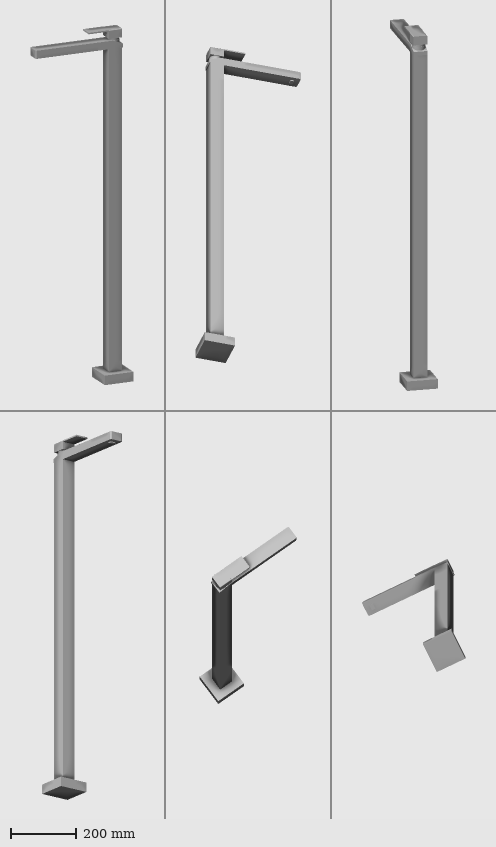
import cadquery as cq


TOTAL_HEIGHT = 1125.0
BASE_HEIGHT = 30.0
COLUMN_TOP = 949.0
SPOUT_BOTTOM = 1064.0
SPOUT_TOP = 1090.0
HEAD_BOTTOM = 1096.0

BASE_SIDE = 97.0
COLUMN_SIDE = 44.0
NECK_DIAMETER = 42.0

SPOUT_FRONT_Y = -268.0
SPOUT_BACK_Y = 25.0
SPOUT_NOSE_RADIUS = 5.0
SLOPE_LENGTH = 37.0
SLOPE_DROP = 13.0

AERATOR_LENGTH_X = 18.0
AERATOR_LENGTH_Y = 11.0
AERATOR_DROP = 3.0
AERATOR_Y = -244.0

HEAD_ROUND = 2.0
COLLAR_DIAMETER = 39.0
LEVER_THICKNESS = 5.0
LEVER_FRONT_Y = -90.0
SCREW_DIAMETER = 11.0
SCREW_DEPTH = 6.0
SCREW_SOCKET_DIAMETER = 6.0
SCREW_SOCKET_DEPTH = 3.0
SCREW_Z = 1105.0

HEAD_FRONT_Y = -COLUMN_SIDE / 2


def square_bar(side, bottom, top):
    """Upright bar with a square section, centred on the column axis."""
    return cq.Workplane("XY").workplane(offset=bottom).rect(side, side).extrude(top - bottom)


def round_bar(diameter, bottom, top):
    """Upright cylinder on the column axis."""
    return cq.Workplane("XY").workplane(offset=bottom).circle(diameter / 2).extrude(top - bottom)


def make_base():
    """Square foot on the floor."""
    return square_bar(BASE_SIDE, 0, BASE_HEIGHT)


def make_column():
    """Tall lower column that stands on the base."""
    return square_bar(COLUMN_SIDE, BASE_HEIGHT, COLUMN_TOP)


def make_body():
    """Square upper body with a round neck that passes through the spout."""
    block = square_bar(COLUMN_SIDE, COLUMN_TOP, SPOUT_BOTTOM)
    neck = round_bar(NECK_DIAMETER, SPOUT_BOTTOM, SPOUT_TOP)
    return block.union(neck)


def make_spout():
    """Flat bar with a sloped top at the back, a rounded nose and a bore for the neck."""
    profile = [
        (SPOUT_FRONT_Y, SPOUT_BOTTOM),
        (SPOUT_BACK_Y, SPOUT_BOTTOM),
        (SPOUT_BACK_Y, SPOUT_TOP - SLOPE_DROP),
        (SPOUT_BACK_Y - SLOPE_LENGTH, SPOUT_TOP),
        (SPOUT_FRONT_Y, SPOUT_TOP),
    ]
    bar = cq.Workplane("YZ").polyline(profile).close().extrude(COLUMN_SIDE / 2, both=True)
    bar = bar.faces("<Y").edges("|Z").fillet(SPOUT_NOSE_RADIUS)
    return bar.cut(round_bar(NECK_DIAMETER, SPOUT_BOTTOM, SPOUT_TOP))


def make_aerator():
    """Small rectangular outlet that hangs from the underside of the spout."""
    return (
        cq.Workplane("XY")
        .workplane(offset=SPOUT_BOTTOM)
        .center(0, AERATOR_Y)
        .rect(AERATOR_LENGTH_X, AERATOR_LENGTH_Y)
        .extrude(-AERATOR_DROP)
    )


def make_collar():
    """Round link between the neck and the head."""
    return round_bar(COLLAR_DIAMETER, SPOUT_TOP, HEAD_BOTTOM)


def front_plug(diameter, depth):
    """Cylinder that goes back into the head from its front face, at the screw's place."""
    face = cq.Workplane("XZ", origin=(0, HEAD_FRONT_Y, SCREW_Z))
    return face.circle(diameter / 2).extrude(-depth)


def make_screw():
    """Screw set flush into the front face of the head, with a key socket."""
    plug = front_plug(SCREW_DIAMETER, SCREW_DEPTH)
    return plug.cut(front_plug(SCREW_SOCKET_DIAMETER, SCREW_SOCKET_DEPTH))


def make_head():
    """Square head, rounded along the top edge of each side, with a hole for the screw."""
    block = square_bar(COLUMN_SIDE, HEAD_BOTTOM, TOTAL_HEIGHT)
    block = block.faces("<X or >X").edges(">Z").fillet(HEAD_ROUND)
    return block.cut(front_plug(SCREW_DIAMETER, SCREW_DEPTH))


def make_lever():
    """Thin plate that continues the top of the head forward."""
    reach = HEAD_FRONT_Y - LEVER_FRONT_Y
    middle_y = (HEAD_FRONT_Y + LEVER_FRONT_Y) / 2
    middle_z = TOTAL_HEIGHT - LEVER_THICKNESS / 2
    plate = cq.Workplane("XY", origin=(0, middle_y, middle_z))
    return plate.box(COLUMN_SIDE, reach, LEVER_THICKNESS)


base = make_base()
column = make_column()
body = make_body()
spout = make_spout()
aerator = make_aerator()
collar = make_collar()
screw = make_screw()
head = make_head()
lever = make_lever()

result = cq.Compound.makeCompound(
    [part.val() for part in (base, column, body, spout, aerator, collar, screw, head, lever)]
)